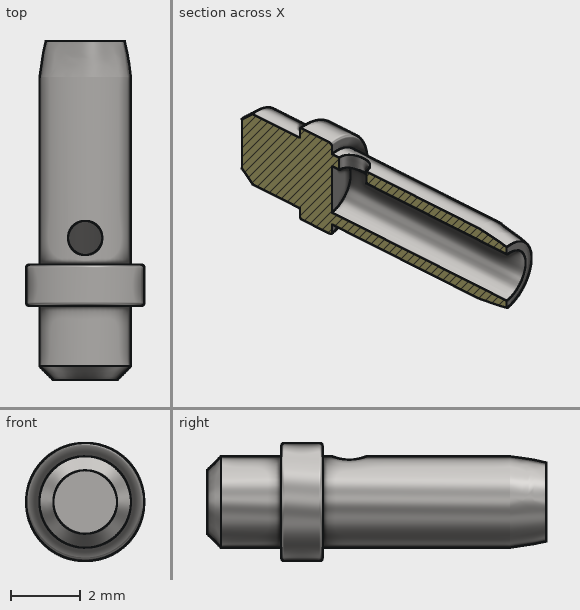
import cadquery as cq
import math

length = 9.71
pin_radius = 2.62 / 2
tip_chamfer = 0.40

collar_radius = 3.39 / 2
collar_start = 2.12
collar_width = 1.19
collar_edge_radius = 0.10

taper_length = 1.04
tail_radius = 2.26 / 2
taper_bulge = 0.020

bore_radius = 1.70 / 2
bore_end = collar_start + collar_width
cross_hole_diameter = 0.98
cross_hole_position = 4.07


def make_pin():
    """Turned pin: chamfered tip, straight shank and a curved taper at the tail."""
    taper_start = length - taper_length
    taper_drop = pin_radius - tail_radius
    taper_chord = math.hypot(taper_length, taper_drop)
    arc_middle = (
        (pin_radius + tail_radius) / 2 + taper_bulge * taper_length / taper_chord,
        taper_start + taper_length / 2 + taper_bulge * taper_drop / taper_chord,
    )
    half_profile = (
        cq.Workplane("XY")
        .lineTo(pin_radius - tip_chamfer, 0)
        .lineTo(pin_radius, tip_chamfer)
        .lineTo(pin_radius, taper_start)
        .threePointArc(arc_middle, (tail_radius, length))
        .lineTo(0, length)
        .close()
    )
    return half_profile.revolve(360, (0, 0, 0), (0, 1, 0))


def cylinder_along_y(radius, start, height):
    """Cylinder on the pin axis, from start toward +Y."""
    plane = cq.Plane(origin=(0, start, 0), xDir=(1, 0, 0), normal=(0, 1, 0))
    return cq.Workplane(plane).circle(radius).extrude(height)


def make_collar():
    """Stop collar with both rims rounded."""
    collar = cylinder_along_y(collar_radius, collar_start, collar_width)
    return collar.edges("%CIRCLE").fillet(collar_edge_radius)


def make_bore():
    """Blind bore that opens at the tail."""
    return cylinder_along_y(bore_radius, bore_end, length - bore_end)


def make_cross_hole():
    """Radial hole from the top of the shank down to the pin axis."""
    return (
        cq.Workplane("XY")
        .center(0, cross_hole_position)
        .circle(cross_hole_diameter / 2)
        .extrude(pin_radius)
    )


result = make_pin().union(make_collar()).cut(make_bore()).cut(make_cross_hole())